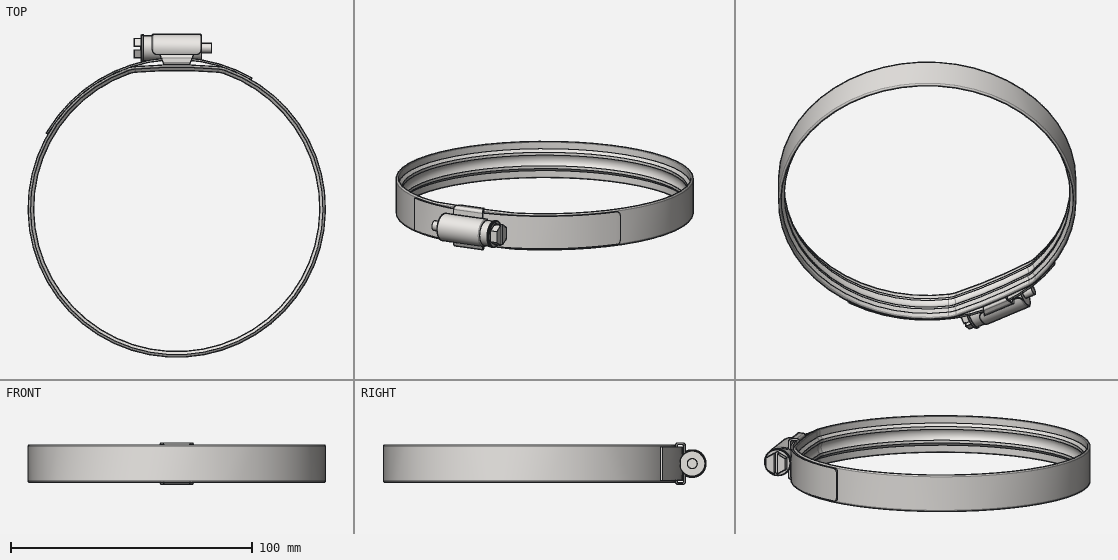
import cadquery as cq
import math


ring_radius = 123.2 / 2
ring_width = 15.5
outer_edge_fillet = 0.7
inner_edge_fillet = 0.33
band_thickness = 1.1
ridge_depth = 2.4
ridge_foot_z = 4.7
crest_outer_z = 3.5
crest_inner_z = 2.3
groove_floor_depth = 1.6
flat_top_y = 59.5
flat_radius = 200.7
blend_radius = 13.4

strap_thickness = 0.8
strap_width = 13.9
strap_start_angle = 60
strap_end_angle = 150
strap_corner_radius = 1.6

screw_radius = 5.2
screw_end_x = 10.3
flange_radius = 5.6
flange_thickness = 1.0
flange_chamfer = 0.3
flange_start_x = -14.7
head_height = 3.0
head_across_flats = 8.2
slot_width = 1.5
slot_depth = 2.7
tip_radius = 4.1 / 2
tip_end_x = 14.5

shell_radius = 5.8
shell_half_length = 10.2
shell_end_fillet = 0.4
shell_corner_radius = 2.3
loop_top_y = 63.7
loop_bottom_y = flat_top_y
loop_half_width = 17.3 / 2
loop_sheet = 0.8
loop_top_corner = 1.3
loop_bottom_corner = 1.0
loop_top_half_length = 7.0
loop_bottom_half_length = 5.4

outer_size = 133.8
screw_axis_y = outer_size - ring_radius - shell_radius


def x_cylinder(radius, start_x, end_x):
    """A cylinder on the screw axis between two X positions."""
    return (
        cq.Workplane("YZ", origin=(start_x, screw_axis_y, 0))
        .circle(radius)
        .extrude(end_x - start_x)
    )


def bend(section, start_angle, end_angle, centre):
    """Revolve an XZ section about a vertical axis through centre; angles from +X in degrees."""
    return (
        section.revolve(end_angle - start_angle, (0, 0, 0), (0, 1, 0))
        .rotate((0, 0, 0), (0, 0, 1), start_angle)
        .translate((centre[0], centre[1], 0))
    )


def band_section(radius):
    """The ring's plain strip with rounded edges, its outer face at X = radius."""
    profile = (
        cq.Sketch()
        .rect(band_thickness, ring_width)
        .vertices(">X")
        .fillet(outer_edge_fillet)
        .reset()
        .vertices("<X")
        .fillet(inner_edge_fillet)
        .reset()
        .moved(cq.Location(cq.Vector(radius - band_thickness / 2, 0, 0)))
    )
    return cq.Workplane("XZ").placeSketch(profile)


def ridge_section(radius):
    """The two ridges and the round groove between them, standing on the strip's inner face."""
    inner = radius - band_thickness
    crest = radius - ridge_depth
    return (
        cq.Workplane("XZ")
        .moveTo(inner, -ridge_foot_z)
        .lineTo(inner, ridge_foot_z)
        .lineTo(crest, crest_outer_z)
        .lineTo(crest, crest_inner_z)
        .threePointArc((radius - groove_floor_depth, 0), (crest, -crest_inner_z))
        .lineTo(crest, -crest_outer_z)
        .close()
    )


def ring_stretch(radius, centre, start_angle, end_angle):
    """One arc of the ring with the given outer radius."""
    band = bend(band_section(radius), start_angle, end_angle, centre)
    ridges = bend(ridge_section(radius), start_angle, end_angle, centre)
    return band.union(ridges)


def make_ring():
    """The ring: a round stretch and a flatter one, joined by two tangent blends."""
    flat_centre_y = flat_top_y - flat_radius
    round_reach = ring_radius - blend_radius
    flat_reach = flat_radius - blend_radius
    blend_y = (round_reach**2 - flat_reach**2 + flat_centre_y**2) / (2 * flat_centre_y)
    blend_x = math.sqrt(round_reach**2 - blend_y**2)
    round_angle = math.degrees(math.atan2(blend_y, blend_x))
    flat_angle = math.degrees(math.atan2(blend_y - flat_centre_y, blend_x))
    return (
        ring_stretch(ring_radius, (0, 0), 180 - round_angle, 360 + round_angle)
        .union(ring_stretch(blend_radius, (blend_x, blend_y), round_angle, flat_angle))
        .union(ring_stretch(flat_radius, (0, flat_centre_y), flat_angle, 180 - flat_angle))
        .union(ring_stretch(blend_radius, (-blend_x, blend_y), 180 - flat_angle, 180 - round_angle))
    )


def make_strap(screw):
    """The strap, with rounded corners at its free end and an opening where the screw engages."""
    middle_radius = ring_radius + strap_thickness / 2
    section = cq.Workplane("XZ").pushPoints([(middle_radius, 0)]).rect(strap_thickness, strap_width)
    strap = bend(section, strap_start_angle, strap_end_angle, (0, 0))
    end_angle = math.radians(strap_end_angle)
    end_x = middle_radius * math.cos(end_angle)
    end_y = middle_radius * math.sin(end_angle)
    for corner_z in (-strap_width / 2, strap_width / 2):
        corner = cq.selectors.NearestToPointSelector((end_x, end_y, corner_z))
        strap = strap.edges(corner).fillet(strap_corner_radius)
    return strap.cut(screw)


def make_screw():
    """The screw: slotted hexagon head, flange, body and a thin tip."""
    head_end_x = flange_start_x - head_height
    head = (
        cq.Workplane("YZ", origin=(head_end_x, screw_axis_y, 0))
        .polygon(6, head_across_flats, circumscribed=True)
        .extrude(head_height)
    )
    flange = x_cylinder(flange_radius, flange_start_x, flange_start_x + flange_thickness)
    flange = flange.faces("<X").edges().chamfer(flange_chamfer)
    slot = cq.Workplane(origin=(head_end_x + slot_depth / 2, screw_axis_y, 0)).box(
        slot_depth, slot_width, 2 * head_across_flats
    )
    return (
        head.cut(slot)
        .union(flange)
        .union(x_cylinder(screw_radius, flange_start_x, screw_end_x))
        .union(x_cylinder(tip_radius, screw_end_x, tip_end_x))
    )


def make_shell():
    """The cylinder around the screw, cut off level with the loop and rounded at its lower ends."""
    shell = x_cylinder(shell_radius, -shell_half_length, shell_half_length)
    shell = shell.faces("<X or >X").edges().fillet(shell_end_fillet)
    height = screw_axis_y + shell_radius - loop_top_y
    envelope = (
        cq.Workplane("XY", origin=(0, loop_top_y + height / 2, 0))
        .box(2 * shell_half_length, height, 2 * shell_radius)
        .edges("|Z and <Y")
        .fillet(shell_corner_radius)
    )
    return shell.intersect(envelope)


def loop_block(inset):
    """A block with the loop's rounded outline, shrunk by inset, as long as the loop's top."""
    height = loop_top_y - loop_bottom_y - 2 * inset
    width = 2 * (loop_half_width - inset)
    return (
        cq.Workplane("XY", origin=(0, (loop_top_y + loop_bottom_y) / 2, 0))
        .box(2 * loop_top_half_length, height, width)
        .edges("|X and >Y")
        .fillet(loop_top_corner - inset)
        .edges("|X and <Y")
        .fillet(loop_bottom_corner - inset)
    )


def make_loop():
    """The sheet loop that wraps the strap, shorter towards the ring."""
    ends = (
        cq.Workplane("XY")
        .polyline(
            [
                (-loop_top_half_length, loop_top_y),
                (loop_top_half_length, loop_top_y),
                (loop_bottom_half_length, loop_bottom_y),
                (-loop_bottom_half_length, loop_bottom_y),
            ]
        )
        .close()
        .extrude(loop_half_width, both=True)
    )
    return loop_block(0).cut(loop_block(loop_sheet)).intersect(ends)


def make_housing():
    """Shell and loop in one piece, bored for the screw."""
    bore = x_cylinder(screw_radius, flange_start_x, screw_end_x)
    return make_shell().union(make_loop()).cut(bore)


ring = make_ring()
screw = make_screw()
strap = make_strap(screw)
housing = make_housing()

result = cq.Compound.makeCompound([ring.val(), strap.val(), screw.val(), housing.val()])